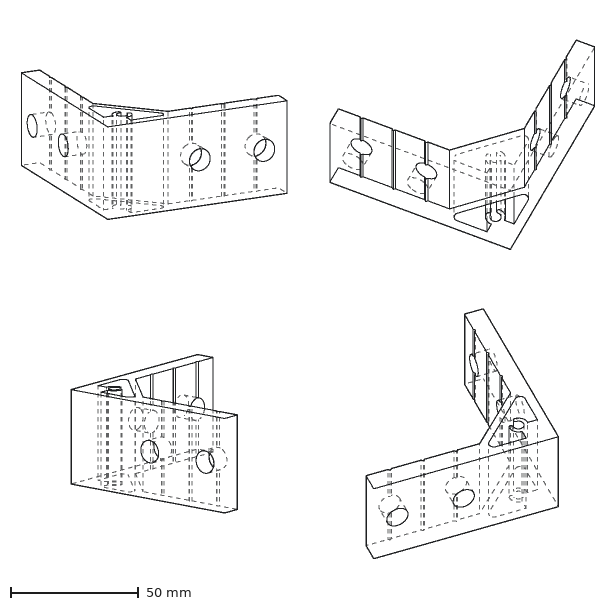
import cadquery as cq
import math

LEG_LENGTH = 78.0
HEIGHT = 38.0
LEG_THICKNESS = 8.0
EDGE_RADIUS = 0.3

GUSSET_REACH = 30.0
GUSSET_WALL = 3.05
POCKET_WALL = LEG_THICKNESS / 2
POCKET_CORNER_RADIUS = 2.0

CHANNEL_OFFSET = 12.0
CHANNEL_OUTER_RADIUS = 3.9
CHANNEL_INNER_RADIUS = 2.2

HOLE_DIAMETER = 9.0
OUTER_HOLE_DISTANCE = 68.0
HOLE_SPACING = 28.0
GROOVE_WIDTH = 1.5
GROOVE_DEPTH = 0.6
hole_distances = [OUTER_HOLE_DISTANCE - i * HOLE_SPACING for i in range(2)]
groove_distances = [OUTER_HOLE_DISTANCE - i * HOLE_SPACING / 2 for i in range(3)]



def extrude_profile(points):
    return cq.Workplane("XY").polyline(points).close().extrude(HEIGHT)


def make_angle():
    """Two equal legs joined by a solid diagonal gusset, with softened outer corners."""
    angle = extrude_profile([
        (0, 0),
        (0, LEG_LENGTH),
        (-LEG_THICKNESS, LEG_LENGTH),
        (-LEG_THICKNESS, GUSSET_REACH),
        (-GUSSET_REACH, LEG_THICKNESS),
        (-LEG_LENGTH, LEG_THICKNESS),
        (-LEG_LENGTH, 0),
    ])
    outer_corners = "(|Z and >X) or (|Z and <Y) or (|Z and <X) or (|Z and >Y)"
    return angle.edges(outer_corners).fillet(EDGE_RADIUS)


def make_pocket():
    """Triangular hollow with two rounded tips, less the square block left in its right angle."""
    pocket_reach = GUSSET_REACH + LEG_THICKNESS - GUSSET_WALL * math.sqrt(2) - POCKET_WALL
    triangle = extrude_profile([
        (-POCKET_WALL, POCKET_WALL),
        (-POCKET_WALL, pocket_reach),
        (-pocket_reach, POCKET_WALL),
    ])
    triangle = triangle.edges("(|Z and >Y) or (|Z and <X)").fillet(POCKET_CORNER_RADIUS)
    corner_block = cq.Workplane("XY").box(CHANNEL_OFFSET, CHANNEL_OFFSET, HEIGHT, centered=False)
    return triangle.cut(corner_block.translate((-CHANNEL_OFFSET, 0, 0)))


def channel_cylinder(radius):
    return cq.Workplane("XY").center(-CHANNEL_OFFSET, CHANNEL_OFFSET).circle(radius).extrude(HEIGHT)


def make_channel_wall():
    """Three-quarter ring, open toward the gusset, with a rounded lip at each end."""
    lip_distance = (CHANNEL_OUTER_RADIUS + CHANNEL_INNER_RADIUS) / 2
    lip_radius = (CHANNEL_OUTER_RADIUS - CHANNEL_INNER_RADIUS) / 2
    opening = (
        cq.Workplane("XY")
        .box(CHANNEL_OUTER_RADIUS, CHANNEL_OUTER_RADIUS, HEIGHT, centered=False)
        .translate((-CHANNEL_OFFSET - CHANNEL_OUTER_RADIUS, CHANNEL_OFFSET, 0))
    )
    lips = (
        cq.Workplane("XY")
        .center(-CHANNEL_OFFSET, CHANNEL_OFFSET)
        .pushPoints([(0, lip_distance), (-lip_distance, 0)])
        .circle(lip_radius)
        .extrude(HEIGHT)
    )
    return channel_cylinder(CHANNEL_OUTER_RADIUS).cut(opening).union(lips)


def cut_bolt_holes(body):
    """Drill the same pair of holes through both legs at mid height."""
    through = 2 * LEG_THICKNESS
    for distance in hole_distances:
        for x, y, direction in ((-distance, 0, (0, 1, 0)), (0, distance, (-1, 0, 0))):
            start = cq.Vector(x, y, HEIGHT / 2)
            drill = cq.Solid.makeCylinder(HOLE_DIAMETER / 2, through, start, cq.Vector(*direction))
            body = body.cut(cq.Workplane(obj=drill))
    return body


def cut_grooves(body):
    """Cut full-height V grooves into the inner face of both legs."""
    bottom = LEG_THICKNESS - GROOVE_DEPTH
    for distance in groove_distances:
        near = distance - GROOVE_WIDTH / 2
        far = distance + GROOVE_WIDTH / 2
        section = [(near, LEG_THICKNESS), (distance, bottom), (far, LEG_THICKNESS)]
        body = body.cut(extrude_profile([(-along, depth) for along, depth in section]))
        body = body.cut(extrude_profile([(-depth, along) for along, depth in section]))
    return body


bracket = make_angle().cut(make_pocket())
bracket = bracket.union(make_channel_wall()).cut(channel_cylinder(CHANNEL_INNER_RADIUS))
bracket = cut_bolt_holes(bracket)
result = cut_grooves(bracket)